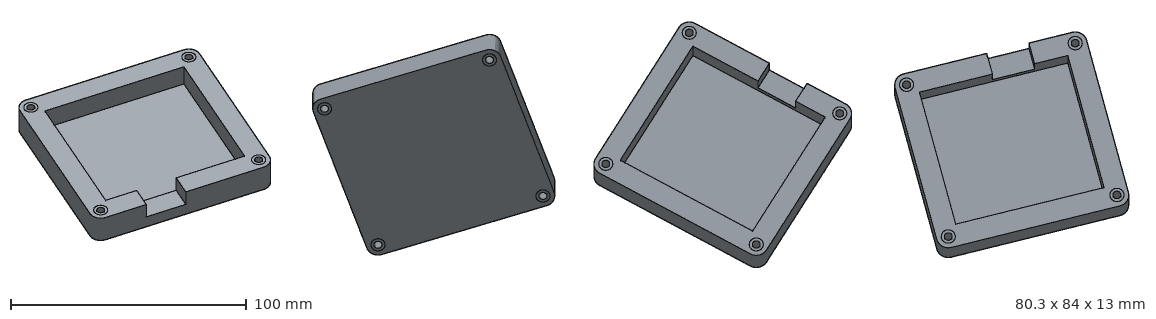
import cadquery as cq

length_y = 84.0
width_x = 80.3
height = 13.0
corner_radius = 5.0

pocket_x = 61.1
pocket_y = 65.0
pocket_depth = 10.0

notch_width = 18.5
notch_center_y = -8.7
notch_depth = 7.2

sleeve_outer_diameter = 6.0
sleeve_bore_diameter = 3.4
sleeve_centers = [
    (side_x * (width_x / 2 - corner_radius), side_y * (length_y / 2 - corner_radius))
    for side_x in (-1, 1)
    for side_y in (-1, 1)
]


def make_pocket():
    """Rectangular cavity open at the top face."""
    floor_z = height - pocket_depth
    return cq.Workplane("XY").workplane(offset=floor_z).rect(pocket_x, pocket_y).extrude(pocket_depth)


def make_notch():
    """Cut that spans the +X wall, from the pocket to the outer face."""
    wall = (width_x - pocket_x) / 2
    return (
        cq.Workplane("XY")
        .workplane(offset=height - notch_depth)
        .center((pocket_x + wall) / 2, notch_center_y)
        .rect(wall, notch_width)
        .extrude(notch_depth)
    )


def make_housing():
    """Rounded block with its pocket, notch and four sleeve holes."""
    block = cq.Workplane("XY").rect(width_x, length_y).extrude(height).edges("|Z").fillet(corner_radius)
    sleeve_holes = (
        cq.Workplane("XY").pushPoints(sleeve_centers).circle(sleeve_outer_diameter / 2).extrude(height)
    )
    return block.cut(make_pocket()).cut(make_notch()).cut(sleeve_holes)


def make_sleeve(center):
    """Plain tube that fills one corner hole over the full height."""
    return (
        cq.Workplane("XY")
        .center(*center)
        .circle(sleeve_outer_diameter / 2)
        .circle(sleeve_bore_diameter / 2)
        .extrude(height)
    )


housing = make_housing()
sleeves = [make_sleeve(center) for center in sleeve_centers]

result = cq.Compound.makeCompound([housing.val(), *[sleeve.val() for sleeve in sleeves]])